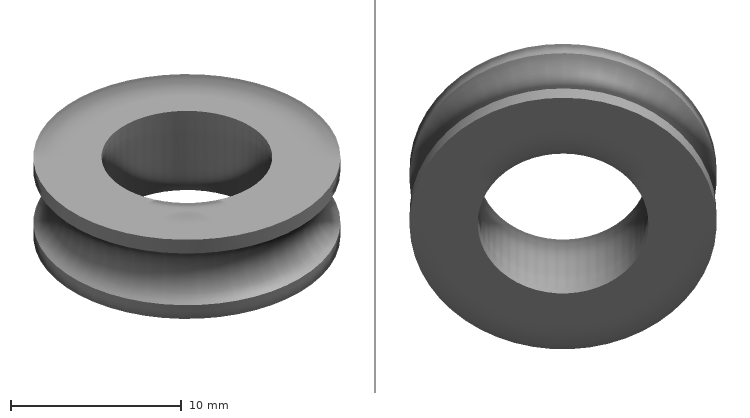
import cadquery as cq

outer_diameter = 18.0
bore_diameter = 10.0
height = 5.5
rim_thickness = 0.95
groove_floor_diameter = 15.84

outer_radius = outer_diameter / 2
bore_radius = bore_diameter / 2
groove_floor_radius = groove_floor_diameter / 2
half_height = height / 2
groove_half_width = half_height - rim_thickness

profile = (
    cq.Workplane("XZ")
    .moveTo(bore_radius, -half_height)
    .lineTo(outer_radius, -half_height)
    .lineTo(outer_radius, -groove_half_width)
    .threePointArc((groove_floor_radius, 0), (outer_radius, groove_half_width))
    .lineTo(outer_radius, half_height)
    .lineTo(bore_radius, half_height)
    .close()
)

result = profile.revolve(360, (0, 0, 0), (0, 1, 0))